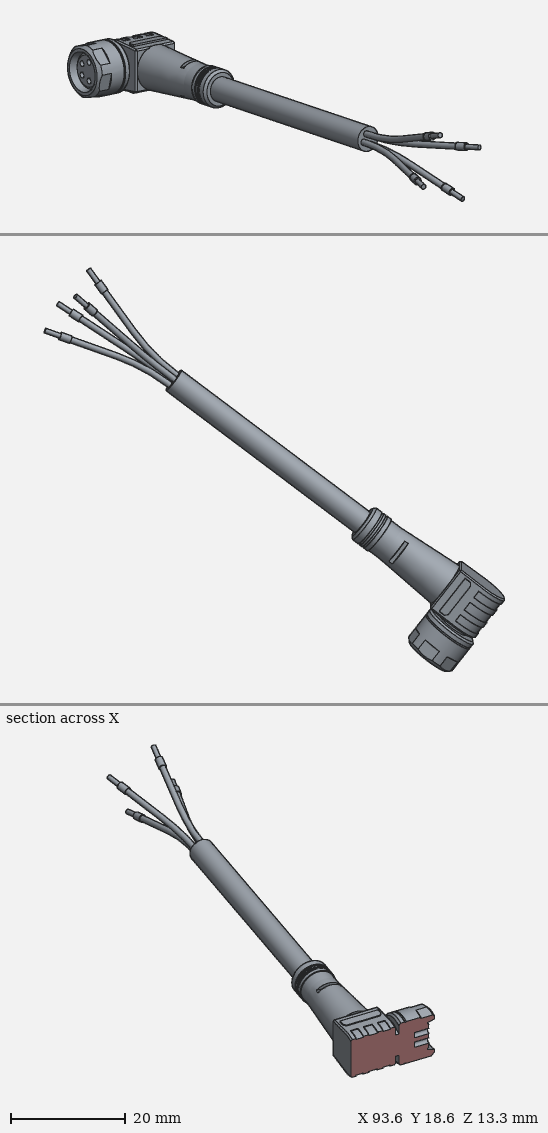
import cadquery as cq
import math

LENGTH = 93.6

NUT_DIA = 9.6
NUT_BACK_Y = -5.0
NUT_FRONT_Y = -12.0
NUT_BACK_CHAMFER = 0.4
NUT_FRONT_CHAMFER = 0.7
NUT_GROOVE_Y = -6.3
NUT_GROOVE_WIDTH = 0.3
NUT_GROOVE_DEPTH = 0.1
NECK_DIA = 5.6

FLAT_COUNT = 6
FLAT_FIRST_ANGLE = 45
FLAT_WIDTH = 3.2
FLAT_BACK_Y = -9.3

MOUTH_DIA = 7.2
MOUTH_DEPTH = 1.4
INSERT_DIA = 6.5
INSERT_FACE_DIA = 5.7
INSERT_FACE_DEPTH = 1.1
CONTACT_DIA = 1.0
CONTACT_DEPTH = 2.8
CONTACT_CENTRES = [(-1.5, 1.0), (-1.5, -1.0), (0.5, 1.7), (0.5, -1.7)]

BODY_DIA = 8.8
BODY_WIDTH = 8.8
BODY_END_X = 5.5
BODY_TAPER = 5.0
BODY_CHAMFER = 0.3
GROOVE_DEPTH = 0.2
GROOVE_END_X = 0.7
GROOVE_PITCH = 2.6
GROOVE_WIDTHS = [1.4, 1.7, 1.4]
BAR_START_X = 2.3
BAR_END_X = 3.9
BAR_LENGTH = 7.4
BAR_CHAMFER = 0.5

CONE_START_DIA = 8.2
SLEEVE_DIA = 6.6
CONE_END_X = 17.6
COLLAR_START_X = 19.9
COLLAR_END_X = 23.7
COLLAR_DIA = 6.9
COLLAR_GROOVE_CENTRES = [21.0, 21.8]
COLLAR_GROOVE_WIDTH = 0.4
COLLAR_CHAMFER = 0.5
NOTCH_START_X = 15.4
NOTCH_WIDTH = 0.75
NOTCH_FLOOR_Z = 2.5

CABLE_DIA = 4.5
CABLE_END_X = 65.2
WIRE_COUNT = 4
WIRE_DIA = 1.1
WIRE_OFFSET = 1.08
WIRE_TURN = 22.0
BEND_START_X = 65.7
BEND_END_X = 75.8
BEND_ANGLE = 17.5
FERRULE_DIA = 1.4
FERRULE_START_X = 84.1
FERRULE_LENGTH = 2.0
TIP_DIA = 0.9
OVERLAP = 0.5

nut_radius = NUT_DIA / 2
body_radius = BODY_DIA / 2
body_half_width = BODY_WIDTH / 2
wire_end_x = LENGTH - nut_radius


def cylinder_y(radius, y_start, y_end, x=0.0, z=0.0):
    """Cylinder parallel to Y between two Y positions."""
    length = abs(y_end - y_start)
    start = cq.Vector(x, min(y_start, y_end), z)
    return cq.Workplane(cq.Solid.makeCylinder(radius, length, start, cq.Vector(0, 1, 0)))


def revolve_y(points):
    """Solid turned about Y from (radius, y) points."""
    return cq.Workplane("XY").polyline(points).close().revolve(360, (0, 0, 0), (0, 1, 0))


def revolve_x(points):
    """Solid turned about X from (x, radius) points."""
    return cq.Workplane("XY").polyline(points).close().revolve(360, (0, 0, 0), (1, 0, 0))


def make_body():
    """D-shaped elbow: round at the back, sides narrowing towards the cable."""
    taper = math.radians(BODY_TAPER)
    tangent_x = body_radius * math.sin(taper)
    tangent_z = body_radius * math.cos(taper)
    end_z = tangent_z - (BODY_END_X - tangent_x) * math.tan(taper)
    body = (
        cq.Workplane("XZ", origin=(0, body_half_width, 0))
        .moveTo(BODY_END_X, -end_z)
        .lineTo(tangent_x, -tangent_z)
        .threePointArc((-body_radius, 0), (tangent_x, tangent_z))
        .lineTo(BODY_END_X, end_z)
        .close()
        .extrude(BODY_WIDTH)
        .faces("<Y or >Y or >X")
        .edges()
        .chamfer(BODY_CHAMFER)
    )
    bar = (
        cq.Workplane("XY", origin=(0, 0, -body_radius))
        .center((BAR_START_X + BAR_END_X) / 2, 0)
        .rect(BAR_END_X - BAR_START_X, BAR_LENGTH)
        .extrude(BODY_DIA)
        .edges("|Z and <X")
        .chamfer(BAR_CHAMFER)
    )
    return body.union(bar)


def cut_body_grooves(body):
    """Cut three shallow bands around the round back of the elbow."""
    for index, width in enumerate(GROOVE_WIDTHS):
        y = (index - 1) * GROOVE_PITCH
        block_size = 2 * BODY_DIA
        block = cq.Workplane("XY").box(block_size, width, block_size).translate((GROOVE_END_X - BODY_DIA, y, 0))
        core_radius = body_radius - GROOVE_DEPTH
        core = cylinder_y(core_radius, y - width, y + width)
        core_side = cq.Workplane("XY").box(BODY_DIA, 2 * width, 2 * core_radius)
        core = core.union(core_side.translate((body_radius, y, 0)))
        body = body.cut(block.cut(core))
    return body


def make_nut():
    """Coupling nut and its neck, with a ring groove and chamfered rims."""
    groove_radius = nut_radius - NUT_GROOVE_DEPTH
    groove_back = NUT_GROOVE_Y + NUT_GROOVE_WIDTH / 2
    groove_front = NUT_GROOVE_Y - NUT_GROOVE_WIDTH / 2
    nut = revolve_y([
        (0, NUT_BACK_Y),
        (nut_radius - NUT_BACK_CHAMFER, NUT_BACK_Y),
        (nut_radius, NUT_BACK_Y - NUT_BACK_CHAMFER),
        (nut_radius, groove_back),
        (groove_radius, groove_back),
        (groove_radius, groove_front),
        (nut_radius, groove_front),
        (nut_radius, NUT_FRONT_Y + NUT_FRONT_CHAMFER),
        (nut_radius - NUT_FRONT_CHAMFER, NUT_FRONT_Y),
        (0, NUT_FRONT_Y),
    ])
    neck = cylinder_y(NECK_DIA / 2, NUT_BACK_Y - OVERLAP, OVERLAP - body_half_width)
    return cut_nut_flats(nut).union(neck).cut(make_socket())


def cut_nut_flats(nut):
    """Cut the nut to leave a flat of FLAT_WIDTH on the rim at each grip position."""
    flat_distance = math.sqrt(nut_radius**2 - (FLAT_WIDTH / 2) ** 2)
    flat_length = FLAT_BACK_Y - NUT_FRONT_Y
    cutter = cq.Workplane("XY").box(nut_radius, flat_length, NUT_DIA, centered=(False, False, True))
    cutter = cutter.translate((flat_distance, NUT_FRONT_Y, 0))
    for index in range(FLAT_COUNT):
        angle = FLAT_FIRST_ANGLE + index * 360 / FLAT_COUNT
        nut = nut.cut(cutter.rotate((0, 0, 0), (0, 1, 0), -angle))
    return nut


def make_socket():
    """Conical mouth around a chamfered insert that carries the contact holes."""
    face_y = NUT_FRONT_Y + INSERT_FACE_DEPTH
    socket = revolve_y([
        (0, NUT_FRONT_Y),
        (MOUTH_DIA / 2, NUT_FRONT_Y),
        (INSERT_DIA / 2, NUT_FRONT_Y + MOUTH_DEPTH),
        (INSERT_FACE_DIA / 2, face_y),
        (0, face_y),
    ])
    for x, z in CONTACT_CENTRES:
        socket = socket.union(cylinder_y(CONTACT_DIA / 2, NUT_FRONT_Y, face_y + CONTACT_DEPTH, x, z))
    return socket


def make_strain_relief():
    """Tapered boot with two flat notches and a ringed collar."""
    sleeve_radius = SLEEVE_DIA / 2
    collar_radius = COLLAR_DIA / 2
    relief = revolve_x([
        (BODY_END_X - OVERLAP, 0),
        (BODY_END_X - OVERLAP, CONE_START_DIA / 2 - OVERLAP),
        (BODY_END_X, CONE_START_DIA / 2 - OVERLAP),
        (BODY_END_X, CONE_START_DIA / 2),
        (CONE_END_X, sleeve_radius),
        (COLLAR_START_X, sleeve_radius),
        (COLLAR_START_X, collar_radius),
        (COLLAR_END_X - COLLAR_CHAMFER, collar_radius),
        (COLLAR_END_X, collar_radius - COLLAR_CHAMFER),
        (COLLAR_END_X, 0),
    ])
    for x in COLLAR_GROOVE_CENTRES:
        start = x - COLLAR_GROOVE_WIDTH / 2
        end = x + COLLAR_GROOVE_WIDTH / 2
        ring = [(start, sleeve_radius), (start, COLLAR_DIA), (end, COLLAR_DIA), (end, sleeve_radius)]
        relief = relief.cut(revolve_x(ring))
    notch = cq.Workplane("XY").box(NOTCH_WIDTH, CONE_START_DIA, CONE_START_DIA, centered=(False, True, False))
    notch = notch.translate((NOTCH_START_X, 0, NOTCH_FLOOR_Z))
    return relief.cut(notch).cut(notch.mirror("XY"))


def make_wire():
    """One wire in the XZ plane: straight, bent outwards, then ferrule and bare tip."""
    angle = math.radians(BEND_ANGLE)
    bend_radius = (BEND_END_X - BEND_START_X) / math.sin(angle)
    direction = cq.Vector(math.cos(angle), 0, math.sin(angle))
    bend_mid = (
        BEND_START_X + bend_radius * math.sin(angle / 2),
        WIRE_OFFSET + bend_radius * (1 - math.cos(angle / 2)),
    )
    bend_end_z = WIRE_OFFSET + bend_radius * (1 - math.cos(angle))

    def point_on_end(x):
        return cq.Vector(x, 0, bend_end_z + (x - BEND_END_X) * math.tan(angle))

    def rod(diameter, start_x, length):
        return cq.Workplane(cq.Solid.makeCylinder(diameter / 2, length, point_on_end(start_x), direction))

    tip_end_x = wire_end_x - TIP_DIA / 2 * math.sin(angle)
    start_x = CABLE_END_X - OVERLAP
    insulation_end = point_on_end(FERRULE_START_X + OVERLAP)
    path = (
        cq.Workplane("XZ")
        .moveTo(start_x, WIRE_OFFSET)
        .lineTo(BEND_START_X, WIRE_OFFSET)
        .threePointArc(bend_mid, (BEND_END_X, bend_end_z))
        .lineTo(insulation_end.x, insulation_end.z)
    )
    insulation = cq.Workplane("YZ", origin=(start_x, 0, WIRE_OFFSET)).circle(WIRE_DIA / 2).sweep(path)
    ferrule = rod(FERRULE_DIA, FERRULE_START_X, FERRULE_LENGTH)
    tip_length = (tip_end_x - FERRULE_START_X) / math.cos(angle)
    tip = rod(TIP_DIA, FERRULE_START_X, tip_length)
    return insulation.union(ferrule).union(tip)


def make_cable():
    """Round cable with the wires fanned out evenly about its axis."""
    start_x = COLLAR_END_X - OVERLAP
    cable = cq.Workplane("YZ", origin=(start_x, 0, 0)).circle(CABLE_DIA / 2).extrude(CABLE_END_X - start_x)
    wire = make_wire()
    for index in range(WIRE_COUNT):
        angle = WIRE_TURN + index * 360 / WIRE_COUNT
        cable = cable.union(wire.rotate((0, 0, 0), (1, 0, 0), angle))
    return cable


result = (
    cut_body_grooves(make_body())
    .union(make_nut())
    .union(make_strain_relief())
    .union(make_cable())
)